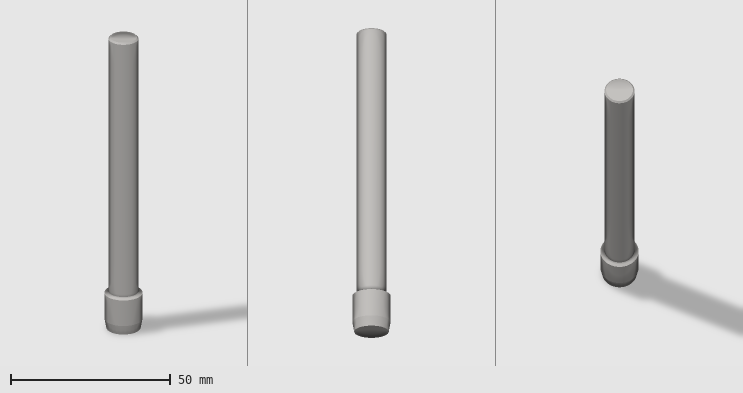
import cadquery as cq

total_length = 100.0
collar_radius = 6.0

rod_radius = 4.7
rod_chamfer = 0.5

collar_height = 12.6
shoulder_height = 0.6
taper_height = 3.2
taper_inset = 0.6


def make_rod():
    """Full-length rod that runs through the collar to its lower face."""
    return (
        cq.Workplane("XY")
        .circle(rod_radius)
        .extrude(total_length)
        .faces(">Z")
        .chamfer(rod_chamfer)
    )


def make_collar():
    """Sleeve with a conical top shoulder and a tapered lower end."""
    return (
        cq.Workplane("XZ")
        .moveTo(rod_radius, 0)
        .lineTo(collar_radius - taper_inset, 0)
        .lineTo(collar_radius, taper_height)
        .lineTo(collar_radius, collar_height - shoulder_height)
        .lineTo(rod_radius, collar_height)
        .close()
        .revolve(360, (0, 0, 0), (0, 1, 0))
    )


rod = make_rod()
collar = make_collar()

result = cq.Compound.makeCompound([rod.val(), collar.val()])